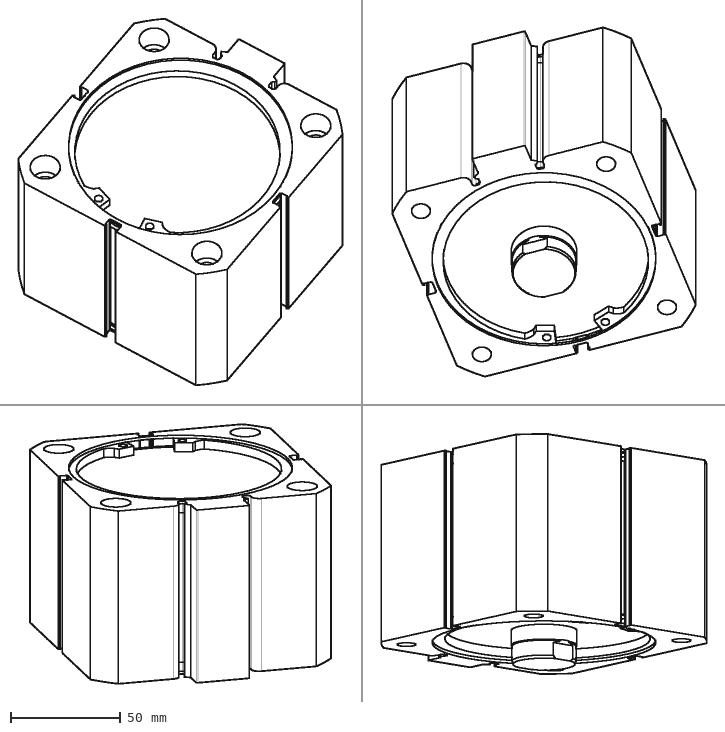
import cadquery as cq
import math


width = 115.0
half = width / 2
height = 82.5
overall_y = 124.0
corner_radius = 74.4
bore_radius = 51.1

rail_half_width = 12.71
rail_top = overall_y - half
rail_edge_radius = 0.5

groove_inner_x = 13.6
groove_width = 3.7
groove_outer_x = groove_inner_x + groove_width
groove_floor = 51.1
groove_floor_radius = 1.2
groove_lip_radius = 3.7
nub_tip = (15.3, 56.0)
nub_neck = (14.9, 55.0)
nub_root_y = 54.2

slot_floor = 52.8
slot_width = 6.7
slot_mouth_outer = 6.1
slot_mouth_inner = 5.1
slot_lip = 0.9
slot_corner = 0.5

mount_spacing = 89.0
mount_diameter = 8.5
counterbore_diameter = 13.6
counterbore_depth = 12.4

ring_recess = 1.4
ring_thickness = 4.2
ring_radius = 53.1
ring_opening_radius = 46.9
ring_opening_offset = 2.5
ring_tilt = -0.7
opening_end_x = 23.9
ear_fillet_mid = (21.7, -42.7)
ear_fillet_end = (19.2, -41.8)
ear_outer_corner = (17.5, -40.0)
ear_gap_corner = (9.7, -42.8)
gap_end = (12.6, -55.8)
ear_hole = (14.1, -45.3)
ear_hole_diameter = 3.7

cover_thickness = 12.4
cover_inset = ring_recess + ring_thickness
head_cover_bottom = height - cover_inset - cover_thickness

rod_radius = 15.0
rod_stem_radius = 14.6
rod_protrusion = 10.0
rod_shoulder = 1.4
rod_end_chamfer_width = 0.5
rod_end_chamfer_length = 1.4
flat_distance = 13.4
flat_start = 2.7


def mirrored_x(point):
    return (-point[0], point[1])


def rail_groove():
    """Groove on the +X side of the rail, undercutting a small nub."""
    diagonal = math.sqrt(0.5)
    r = groove_floor_radius
    bend = r * (1 - diagonal)
    lip = groove_lip_radius
    lip_bend = lip * (1 - diagonal)
    return (
        cq.Workplane("XY")
        .moveTo(rail_half_width, half)
        .lineTo(*nub_tip)
        .lineTo(*nub_neck)
        .lineTo(groove_inner_x, nub_root_y)
        .lineTo(groove_inner_x, groove_floor + r)
        .threePointArc((groove_inner_x + bend, groove_floor + bend), (groove_inner_x + r, groove_floor))
        .lineTo(groove_outer_x - r, groove_floor)
        .threePointArc((groove_outer_x - bend, groove_floor + bend), (groove_outer_x, groove_floor + r))
        .lineTo(groove_outer_x, half - lip)
        .threePointArc((groove_outer_x + lip_bend, half - lip_bend), (groove_outer_x + lip, half))
        .close()
        .extrude(height)
    )


def switch_slot():
    """Slot on the -Y side, with chamfered lips that narrow its mouth."""
    right_side = [
        (slot_mouth_outer / 2, -half),
        (slot_mouth_inner / 2, -half + slot_lip / 2),
        (slot_mouth_inner / 2, -half + slot_lip),
        (slot_width / 2, -half + slot_lip),
        (slot_width / 2, -slot_floor - slot_corner),
        (slot_width / 2 - slot_corner, -slot_floor),
    ]
    left_side = [mirrored_x(point) for point in reversed(right_side)]
    return cq.Workplane("XY").polyline(right_side + left_side).close().extrude(height)


def make_housing():
    block = cq.Workplane("XY").rect(width, width).extrude(height)
    block = block.intersect(cq.Workplane("XY").circle(corner_radius).extrude(height))

    rail = (
        cq.Workplane("XY")
        .center(0, rail_top / 2)
        .rect(2 * rail_half_width, rail_top)
        .extrude(height)
        .edges("|Z and >Y")
        .fillet(rail_edge_radius)
    )
    body = block.union(rail)

    groove = rail_groove()
    body = body.cut(groove).cut(groove.mirror("YZ"))

    for angle in (-90, 0, 90):
        body = body.cut(switch_slot().rotate((0, 0, 0), (0, 0, 1), angle))

    body = body.cut(cq.Workplane("XY").circle(bore_radius).extrude(height))
    for bottom in (ring_recess, height - cover_inset):
        ring_seat = cq.Workplane("XY").workplane(offset=bottom).circle(ring_radius).extrude(ring_thickness)
        body = body.cut(ring_seat)

    return (
        body.faces(">Z")
        .workplane(origin=(0, 0, height))
        .rect(mount_spacing, mount_spacing, forConstruction=True)
        .vertices()
        .cboreHole(mount_diameter, counterbore_diameter, counterbore_depth)
    )


def make_snap_ring(bottom):
    """Open ring with an eccentric opening and a drilled ear on each side of its gap."""
    opening_end_y = -ring_opening_offset - math.sqrt(ring_opening_radius**2 - opening_end_x**2)
    opening_end = (opening_end_x, opening_end_y)
    opening_top = (0, ring_opening_radius - ring_opening_offset)
    opening = (
        cq.Workplane("XY")
        .moveTo(*opening_end)
        .threePointArc(opening_top, mirrored_x(opening_end))
        .threePointArc(mirrored_x(ear_fillet_mid), mirrored_x(ear_fillet_end))
        .lineTo(*mirrored_x(ear_outer_corner))
        .lineTo(*mirrored_x(ear_gap_corner))
        .lineTo(*mirrored_x(gap_end))
        .lineTo(*gap_end)
        .lineTo(*ear_gap_corner)
        .lineTo(*ear_outer_corner)
        .lineTo(*ear_fillet_end)
        .threePointArc(ear_fillet_mid, opening_end)
        .close()
        .extrude(ring_thickness)
    )
    ear_holes = (
        cq.Workplane("XY")
        .pushPoints([ear_hole, mirrored_x(ear_hole)])
        .circle(ear_hole_diameter / 2)
        .extrude(ring_thickness)
    )
    ring = cq.Workplane("XY").circle(ring_radius).extrude(ring_thickness)
    ring = ring.cut(opening).cut(ear_holes)
    return ring.rotate((0, 0, 0), (0, 0, 1), ring_tilt).translate((0, 0, bottom))


def make_head_cover():
    return (
        cq.Workplane("XY")
        .workplane(offset=head_cover_bottom)
        .circle(bore_radius)
        .extrude(cover_thickness)
    )


def make_rod_cover():
    return (
        cq.Workplane("XY")
        .workplane(offset=cover_inset)
        .circle(bore_radius)
        .circle(rod_radius)
        .extrude(cover_thickness)
    )


def make_rod():
    """Rod from the head cover down through the rod cover, with two wrench flats on its stem."""
    shoulder_step = rod_radius - rod_stem_radius
    profile = [
        (0, -rod_protrusion),
        (rod_stem_radius - rod_end_chamfer_width, -rod_protrusion),
        (rod_stem_radius, -rod_protrusion + rod_end_chamfer_length),
        (rod_stem_radius, -rod_shoulder - shoulder_step),
        (rod_radius, -rod_shoulder),
        (rod_radius, head_cover_bottom),
        (0, head_cover_bottom),
    ]
    rod = cq.Workplane("XZ").polyline(profile).close().revolve(360, (0, 0), (0, 1))

    runout = rod_radius - flat_distance
    flat_cutter = (
        cq.Workplane("YZ")
        .moveTo(flat_distance, -rod_protrusion)
        .lineTo(flat_distance, -flat_start)
        .lineTo(flat_distance + runout, -flat_start + runout)
        .lineTo(flat_distance + runout, -rod_protrusion)
        .close()
        .extrude(rod_radius, both=True)
    )
    return rod.cut(flat_cutter).cut(flat_cutter.mirror("XZ"))


housing = make_housing()
head_cover = make_head_cover()
rod_cover = make_rod_cover()
rod = make_rod()
snap_rings = [make_snap_ring(bottom) for bottom in (ring_recess, height - cover_inset)]

result = cq.Compound.makeCompound(
    [body.solids().val() for body in (housing, head_cover, rod_cover, rod, *snap_rings)]
)